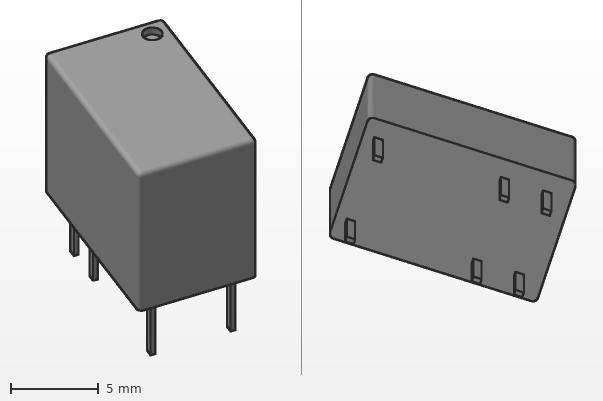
import cadquery as cq

body_length = 12.5
body_width = 7.5
total_height = 14.0
pin_length = 4.0
body_height = total_height - pin_length
edge_radius = 0.31

pin_size_x = 0.5
pin_size_y = 0.3
pin_pitch = 2.53
first_pin_x = -4.8
third_pin_pitches = 4
pin_columns = [first_pin_x + pin_pitch * steps for steps in (0, 1, third_pin_pitches)]
pin_rows = [-pin_pitch, pin_pitch]

marker_diameter = 1.16
marker_depth = 0.5
marker_inset_x = 1.15
marker_inset_y = 1.2


def make_housing():
    """Box standing on Z = 0 with rounded upright and top edges."""
    box = cq.Workplane("XY").box(body_length, body_width, body_height, centered=(True, True, False))
    return box.edges("|Z or >Z").fillet(edge_radius)


def make_pins():
    """Rectangular pins hanging below the housing."""
    positions = [(x, y) for x in pin_columns for y in pin_rows]
    return cq.Workplane("XY").pushPoints(positions).rect(pin_size_x, pin_size_y).extrude(-pin_length)


def make_marker():
    """Cylinder that cuts the marker recess into the top face."""
    marker_x = marker_inset_x - body_length / 2
    marker_y = body_width / 2 - marker_inset_y
    floor = cq.Workplane("XY").workplane(offset=body_height - marker_depth)
    return floor.center(marker_x, marker_y).circle(marker_diameter / 2).extrude(marker_depth)


result = make_housing().union(make_pins()).cut(make_marker())